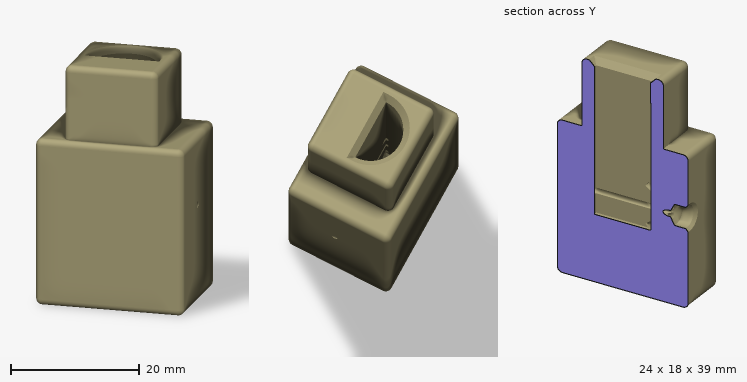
import cadquery as cq
import math

BODY_X = 24.0
BODY_Y = 18.0
BODY_Z = 27.0

NECK_SIDE = 15.0
NECK_HEIGHT = 12.0
NECK_FRONT_MARGIN = 1.0
NECK_CENTER_Y = -BODY_Y / 2 + NECK_FRONT_MARGIN + NECK_SIDE / 2
TOP_Z = BODY_Z + NECK_HEIGHT

EDGE_RADIUS = 1.0

POCKET_RADIUS = 5.1
POCKET_CHAMFER = 1.0
POCKET_FLOOR_Z = 12.0

HOLE_Z = 15.9
BORE_DIAMETER = 3.8
BORE_CHAMFER = 0.5
BORE_DEPTH = 2.5
DRILL_POINT_ANGLE = 118.0
PASSAGE_DIAMETER = 1.0

VERTICAL_JET_TILT = 35.0
SIDE_JET_TILT = 27.0
JET_LENGTH = 6.5

BORE_RADIUS = BORE_DIAMETER / 2
POINT_LENGTH = BORE_RADIUS / math.tan(math.radians(DRILL_POINT_ANGLE / 2))
JET_START_X = -BODY_X / 2 + BORE_DEPTH


def rounded_body():
    body = cq.Workplane("XY").box(BODY_X, BODY_Y, BODY_Z, centered=(True, True, False))
    return body.edges().fillet(EDGE_RADIUS)


def rounded_neck():
    return (
        cq.Workplane("XY", origin=(0, NECK_CENTER_Y, BODY_Z))
        .box(NECK_SIDE, NECK_SIDE, NECK_HEIGHT, centered=(True, True, False))
        .edges("|Z or >Z")
        .fillet(EDGE_RADIUS)
    )


def half_round_outline(workplane, radius, flat_y):
    """Closed outline: an arc centred on the origin, straight sides down to a flat at flat_y."""
    outline = workplane.moveTo(radius, 0).threePointArc((0, radius), (-radius, 0))
    if flat_y < 0:
        outline = outline.lineTo(-radius, flat_y).lineTo(radius, flat_y)
    return outline.close()


def half_round_pocket():
    """Half-round prism with its flat side on the neck centre and a chamfered rim."""
    pocket_depth = TOP_Z - POCKET_FLOOR_Z
    prism = half_round_outline(
        cq.Workplane("XY", origin=(0, NECK_CENTER_Y, POCKET_FLOOR_Z)), POCKET_RADIUS, 0
    ).extrude(pocket_depth)
    rim = half_round_outline(
        cq.Workplane("XY", origin=(0, NECK_CENTER_Y, TOP_Z)),
        POCKET_RADIUS + POCKET_CHAMFER,
        -POCKET_CHAMFER,
    ).extrude(-POCKET_CHAMFER, taper=45)
    return prism.union(rim)


def drilled_bore():
    """Chamfered bore with a drill point, revolved about the hole axis."""
    profile = [
        (0, 0),
        (0, BORE_RADIUS + BORE_CHAMFER),
        (BORE_CHAMFER, BORE_RADIUS),
        (BORE_DEPTH, BORE_RADIUS),
        (BORE_DEPTH + POINT_LENGTH, 0),
    ]
    return (
        cq.Workplane("XY", origin=(-BODY_X / 2, NECK_CENTER_Y, HOLE_Z))
        .polyline(profile)
        .close()
        .revolve(360, (0, 0, 0), (1, 0, 0))
    )


def fine_passage():
    return (
        cq.Workplane("YZ", origin=(-BODY_X / 2, NECK_CENTER_Y, HOLE_Z))
        .circle(PASSAGE_DIAMETER / 2)
        .extrude(BODY_X)
    )


def slanted_jet(tilt, side_y, side_z):
    """Jet leaning from the hole axis by tilt degrees toward the given sideways direction."""
    start = cq.Vector(JET_START_X, NECK_CENTER_Y, HOLE_Z)
    along = math.cos(math.radians(tilt))
    across = math.sin(math.radians(tilt))
    direction = cq.Vector(along, across * side_y, across * side_z)
    return cq.Workplane(cq.Solid.makeCylinder(PASSAGE_DIAMETER / 2, JET_LENGTH, start, direction))


solid = rounded_body().union(rounded_neck())
solid = solid.cut(half_round_pocket())
solid = solid.cut(drilled_bore())
solid = solid.cut(fine_passage())
solid = solid.cut(slanted_jet(VERTICAL_JET_TILT, 0, 1))
solid = solid.cut(slanted_jet(VERTICAL_JET_TILT, 0, -1))
result = solid.cut(slanted_jet(SIDE_JET_TILT, 1, 0))